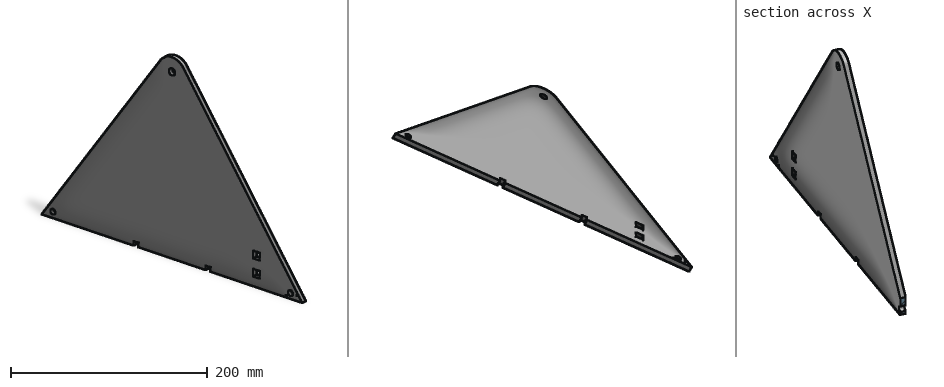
import cadquery as cq
import math

base_width = 340.0
height = 226.5
thickness = 6.0

apex_radius = 18.5
apex_center_z = height - apex_radius
apex_hole_z = 209.8
apex_hole_diameter = 7.8

corner_hole_diameter = 6.0
corner_holes = [(-155.5, 7.0), (154.5, 6.5)]

pin_hole_diameter = 1.5
pin_holes = [(163.0, 6.5), (149.0, 2.0)]

window_size = 8.5
window_x = 110.0
window_heights = [15.3, 35.7]

slot_width = thickness
slot_depth = 5.0
slot_offset = 47.0


def extrude_back(sketch):
    """Extrude an XZ sketch through the plate thickness, toward +Y."""
    return sketch.extrude(-thickness)


def make_plate():
    """Triangle whose sides run tangent into the apex arc."""
    half_width = base_width / 2
    corner_distance = math.hypot(half_width, apex_center_z)
    to_corner = math.atan2(-apex_center_z, half_width)
    tangent_angle = to_corner + math.acos(apex_radius / corner_distance)
    tangent_x = apex_radius * math.cos(tangent_angle)
    tangent_z = apex_center_z + apex_radius * math.sin(tangent_angle)
    outline = (
        cq.Workplane("XZ")
        .moveTo(-half_width, 0)
        .lineTo(half_width, 0)
        .lineTo(tangent_x, tangent_z)
        .threePointArc((0, height), (-tangent_x, tangent_z))
        .close()
    )
    return extrude_back(outline)


def make_holes(centers, diameter):
    return extrude_back(cq.Workplane("XZ").pushPoints(centers).circle(diameter / 2))


def make_windows():
    centers = [(window_x, z) for z in window_heights]
    return extrude_back(cq.Workplane("XZ").pushPoints(centers).rect(window_size, window_size))


def make_slots():
    centers = [(-slot_offset, 0), (slot_offset, 0)]
    return extrude_back(cq.Workplane("XZ").pushPoints(centers).rect(slot_width, 2 * slot_depth))


result = (
    make_plate()
    .cut(make_holes([(0, apex_hole_z)], apex_hole_diameter))
    .cut(make_holes(corner_holes, corner_hole_diameter))
    .cut(make_holes(pin_holes, pin_hole_diameter))
    .cut(make_windows())
    .cut(make_slots())
)